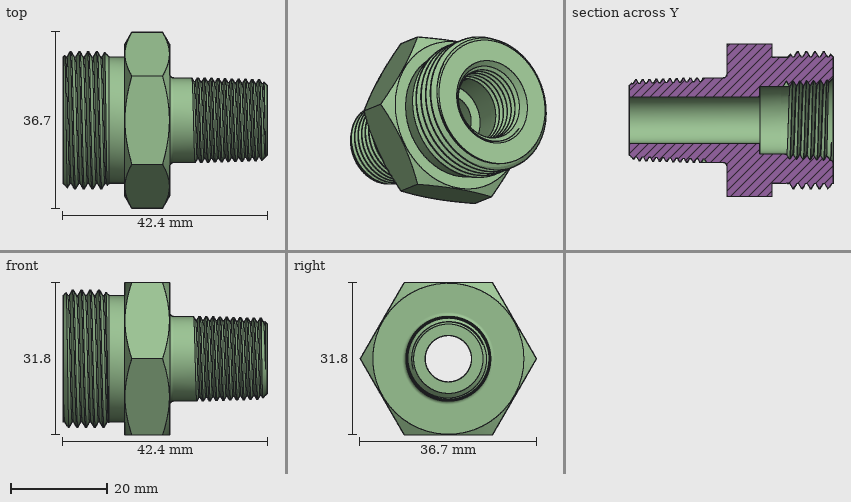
import cadquery as cq
import math

LENGTH = 42.4
HEX_START = 12.73
HEX_END = 22.15

HEX_ACROSS_FLATS = 31.75
HEX_FACE_RADIUS = 15.7
HEX_CHAMFER_ANGLE = 30.0

FLANK_SLOPE = math.tan(math.radians(30))
GAUGE_LENGTH = 25.4
LARGE_PITCH = GAUGE_LENGTH / 14
PIPE_PITCH = GAUGE_LENGTH / 18
PIPE_TAPER = 1 / 32

LARGE_ROOT_RADIUS = 13.15
LARGE_DEPTH = 1.1
LARGE_CREST_FLAT = 0.25
LARGE_THREAD_END = 9.55
LARGE_CREST_X = 2.0
LARGE_TURNS = 8
LARGE_TURNS_AHEAD = 5

SHANK_RADIUS = 8.82
SHANK_FILLET = 0.75
TIP_RADIUS = 7.2
PIPE_TAPER_START = 28.12
PIPE_DEPTH = 0.75
PIPE_CREST_FLAT = 0.25
PIPE_GROOVE_X = 27.6
PIPE_TURNS = 11.5
PIPE_TURNS_AHEAD = 11

SOCKET_MOUTH_RADIUS = 8.8
SOCKET_RADIUS = 7.35
SOCKET_TAPER_END = 10.8
SOCKET_DEPTH = 15.25
SOCKET_GROOVE_DEPTH = 1.0
SOCKET_GROOVE_FLAT = 0.1
SOCKET_GROOVE_X = 1.3
SOCKET_TURNS = 8
SOCKET_TURNS_AHEAD = 6
BORE_RADIUS = 4.8

OVERLAP = 0.1


def revolve_about_x(outline):
    """Solid of revolution about X from (x, radius) points."""
    return cq.Workplane("XY").polyline(outline).close().revolve(360, (0, 0, 0), (1, 0, 0))


def thread_profile(low, high, flat, flat_height):
    """Trapezoid from low to high with 60 degree flanks, as wide as flat at flat_height."""
    def half_width(height):
        return flat / 2 + abs(flat_height - height) * FLANK_SLOPE

    return [
        (low, -half_width(low)),
        (high, -half_width(high)),
        (high, half_width(high)),
        (low, half_width(low)),
    ]


def helical_bar(profile, x_end, turns, pitch, radius, taper=0.0):
    """Right-hand helical bar for threads.

    It starts at the top (+Z) at x_end and winds towards -X. radius is the helix radius at x_end
    and grows by taper per unit of length. profile lists (height above the helix, axial offset).
    """
    if taper:
        path = cq.Wire.makeHelix(pitch, turns * pitch, radius, angle=math.degrees(math.atan(taper)))
    else:
        path = cq.Wire.makeHelix(pitch, turns * pitch, radius)
    bar = (
        cq.Workplane("XZ")
        .polyline([(radius + height, offset) for height, offset in profile])
        .close()
        .sweep(cq.Workplane(obj=path), isFrenet=True)
    )
    return bar.rotate((0, 0, 0), (0, 1, 0), -90).translate((x_end, 0, 0))


def hexagon():
    """Hexagonal section with its corners chamfered by a cone on both faces."""
    across_corners = HEX_ACROSS_FLATS / math.cos(math.radians(30))
    blank = (
        cq.Workplane("YZ", origin=(HEX_START, 0, 0))
        .polygon(6, across_corners)
        .extrude(HEX_END - HEX_START)
    )
    outer_radius = across_corners / 2 + OVERLAP
    bevel = (outer_radius - HEX_FACE_RADIUS) * math.tan(math.radians(HEX_CHAMFER_ANGLE))
    envelope = revolve_about_x([
        (HEX_START, 0),
        (HEX_START, HEX_FACE_RADIUS),
        (HEX_START + bevel, outer_radius),
        (HEX_END - bevel, outer_radius),
        (HEX_END, HEX_FACE_RADIUS),
        (HEX_END, 0),
    ])
    return blank.intersect(envelope)


def large_male():
    """Root cylinder with a helical ridge that 45 degree cones trim at both ends."""
    core = cq.Workplane("YZ").circle(LARGE_ROOT_RADIUS).extrude(HEX_START)
    half_length = LARGE_THREAD_END / 2
    envelope = revolve_about_x([
        (0, 0),
        (0, LARGE_ROOT_RADIUS),
        (half_length, LARGE_ROOT_RADIUS + half_length),
        (LARGE_THREAD_END, LARGE_ROOT_RADIUS),
        (LARGE_THREAD_END, 0),
    ])
    ridge = helical_bar(
        thread_profile(-OVERLAP, LARGE_DEPTH, LARGE_CREST_FLAT, LARGE_DEPTH),
        LARGE_CREST_X + LARGE_TURNS_AHEAD * LARGE_PITCH,
        LARGE_TURNS,
        LARGE_PITCH,
        LARGE_ROOT_RADIUS,
    )
    return core.union(ridge.intersect(envelope))


def small_male():
    """Grooved cone, trimmed by the shank cylinder and a 45 degree chamfer at the tip."""
    def crest_radius(x):
        return SHANK_RADIUS - (x - PIPE_TAPER_START) * PIPE_TAPER

    cone_end = LENGTH + PIPE_PITCH
    cone = revolve_about_x([
        (HEX_END, 0),
        (HEX_END, crest_radius(HEX_END)),
        (cone_end, crest_radius(cone_end)),
        (cone_end, 0),
    ])
    envelope = revolve_about_x([
        (HEX_END, 0),
        (HEX_END, SHANK_RADIUS),
        (LENGTH - (SHANK_RADIUS - TIP_RADIUS), SHANK_RADIUS),
        (LENGTH, TIP_RADIUS),
        (LENGTH, 0),
    ])
    groove_end = PIPE_GROOVE_X + PIPE_TURNS_AHEAD * PIPE_PITCH
    root_flat = PIPE_PITCH - PIPE_CREST_FLAT - 2 * PIPE_DEPTH * FLANK_SLOPE
    groove = helical_bar(
        thread_profile(0, PIPE_DEPTH + OVERLAP, root_flat, 0),
        groove_end,
        PIPE_TURNS,
        PIPE_PITCH,
        crest_radius(groove_end) - PIPE_DEPTH,
        PIPE_TAPER,
    )
    return cone.cut(groove).intersect(envelope)


def shank_fillet():
    """Ring that fillets the shank into the hexagon face."""
    arc_inset = SHANK_FILLET * (1 - math.sqrt(0.5))
    foot_radius = SHANK_RADIUS - SHANK_FILLET
    return (
        cq.Workplane("XY")
        .moveTo(HEX_END, foot_radius)
        .lineTo(HEX_END, SHANK_RADIUS + SHANK_FILLET)
        .threePointArc(
            (HEX_END + arc_inset, SHANK_RADIUS + arc_inset),
            (HEX_END + SHANK_FILLET, SHANK_RADIUS),
        )
        .lineTo(HEX_END + SHANK_FILLET, foot_radius)
        .close()
        .revolve(360, (0, 0, 0), (1, 0, 0))
    )


def socket_thread():
    """Cutter for the tapered female thread; it runs out through the -X face."""
    def crest_radius(x):
        return SOCKET_RADIUS - x * PIPE_TAPER

    groove_end = SOCKET_GROOVE_X + SOCKET_TURNS_AHEAD * PIPE_PITCH
    cone_start = groove_end - (SOCKET_TURNS + 1) * PIPE_PITCH
    cone = revolve_about_x([
        (cone_start, 0),
        (cone_start, crest_radius(cone_start)),
        (SOCKET_TAPER_END, crest_radius(SOCKET_TAPER_END)),
        (SOCKET_DEPTH, crest_radius(SOCKET_TAPER_END)),
        (SOCKET_DEPTH, 0),
    ])
    groove = helical_bar(
        thread_profile(-OVERLAP, SOCKET_GROOVE_DEPTH, SOCKET_GROOVE_FLAT, SOCKET_GROOVE_DEPTH),
        groove_end,
        SOCKET_TURNS,
        PIPE_PITCH,
        crest_radius(groove_end),
        PIPE_TAPER,
    )
    return cone.union(groove)


def socket_mouth():
    """45 degree countersink at the socket entry, as a full cone within the socket depth."""
    return revolve_about_x([(0, 0), (0, SOCKET_MOUTH_RADIUS), (SOCKET_MOUTH_RADIUS, 0)])


def through_bore():
    return cq.Workplane("YZ").circle(BORE_RADIUS).extrude(LENGTH)


body = hexagon().union(large_male()).union(small_male()).union(shank_fillet())
result = body.cut(socket_thread()).cut(socket_mouth()).cut(through_bore())